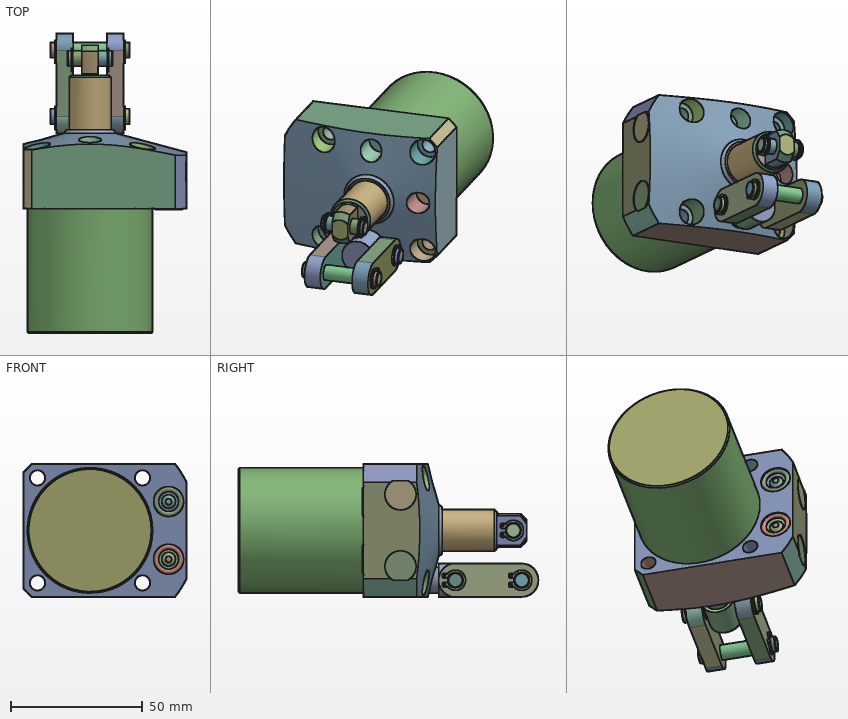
import cadquery as cq
import math


overall_length = 114.3

barrel_radius = 23.9
barrel_length = 47.5
barrel_chamfer = 0.6

flange_half_height = 25.4
flange_left = -25.4
flange_right = 36.8
flange_left_chamfer = 3.2
flange_corner_radius = 41.1
cone_slope = math.tan(math.radians(15))
collar_top_y = 30.1
collar_base_y = 28.7
collar_top_radius = 8.9
collar_base_radius = 10.1

mount_pitch = 40.0
mount_hole_radius = 2.9
mount_head_radius = 4.8
mount_seat_y = 16.0

port_x = 30.0
port_half_pitch = 11.0
port_radius = 5.7
oring_radius = 0.97
oring_proud = 0.4
oring_press = 0.02
nub_base_radius = 2.6
nub_tip_radius = 1.1
nub_height = 1.0

spot_half_pitch = 13.7
spot_y = 14.2
spot_radius = 6.0
spot_depth = 0.29

rod_radius = 8.0
rod_top_y = 50.9
rod_chamfer = 0.9
tang_radius = 6.4
tang_width = 6.3
tang_top_y = 62.3
tang_chamfer = 2.4
tang_flare = 0.6

link_radius = 6.4
link_outer_x = 12.8
link_inner_x = 6.4
link_z = link_radius - flange_half_height
link_low_y = 35.1
link_high_y = overall_length - barrel_length - link_radius
stem_radius = 5.0
stem_bottom_y = 11.4

socket_radius = 4.2
socket_floor_y = 16.0

pin_radius = 3.0
pin_chamfer = 0.3
link_pin_half = 15.2
rod_pin_half = 8.6
rod_pin_y = 57.2
ring_thickness = 0.7
ring_radius = 3.9
ear_radius = 1.0
ear_reach = 4.0
ear_spread = 1.7
ear_hole_radius = 0.4
ring_gap = 1.4
rod_ring_x = 6.5


def y_cylinder(radius, y_start, y_end, x, z):
    """Cylinder parallel to Y."""
    return cq.Workplane("XZ", origin=(x, y_start, z)).circle(radius).extrude(y_start - y_end)


def turned(points):
    """Solid of revolution about Y from (radius, y) points."""
    return cq.Workplane("XY").polyline(points).close().revolve(360, (0, 0, 0), (0, 1, 0))


def make_barrel():
    barrel = y_cylinder(barrel_radius, -barrel_length, 0, 0, 0)
    return barrel.faces("<Y").chamfer(barrel_chamfer)


def make_flange():
    """Plate with two chamfered and two round corners, topped by a cone and collar."""
    top = flange_half_height
    corner_x = math.sqrt(flange_corner_radius**2 - top**2)
    corner_z = math.sqrt(flange_corner_radius**2 - flange_right**2)
    mid_angle = (math.atan2(top, corner_x) + math.atan2(corner_z, flange_right)) / 2
    mid_x = flange_corner_radius * math.cos(mid_angle)
    mid_z = flange_corner_radius * math.sin(mid_angle)
    plate = (
        cq.Workplane("XZ")
        .moveTo(flange_left, flange_left_chamfer - top)
        .lineTo(flange_left + flange_left_chamfer, -top)
        .lineTo(corner_x, -top)
        .threePointArc((mid_x, -mid_z), (flange_right, -corner_z))
        .lineTo(flange_right, corner_z)
        .threePointArc((mid_x, mid_z), (corner_x, top))
        .lineTo(flange_left + flange_left_chamfer, top)
        .lineTo(flange_left, top - flange_left_chamfer)
        .close()
        .extrude(-collar_top_y)
    )
    rim_radius = 2 * barrel_radius
    rim_y = collar_base_y - (rim_radius - collar_base_radius) * cone_slope
    cone = turned([
        (0, 0),
        (rim_radius, 0),
        (rim_radius, rim_y),
        (collar_base_radius, collar_base_y),
        (collar_top_radius, collar_top_y),
        (0, collar_top_y),
    ])
    return plate.intersect(cone)


def cut_mount_holes(body):
    for x in (-mount_pitch / 2, mount_pitch / 2):
        for z in (-mount_pitch / 2, mount_pitch / 2):
            body = body.cut(y_cylinder(mount_hole_radius, 0, collar_top_y, x, z))
            body = body.cut(y_cylinder(mount_head_radius, mount_seat_y, collar_top_y, x, z))
    return body


def cut_sockets(body):
    """Bolt sockets at the same distance from the axis as the lever bolt."""
    for x, z in ((0, -link_z), (link_z, 0)):
        body = body.cut(y_cylinder(socket_radius, socket_floor_y, collar_top_y, x, z))
    return body


def add_ports(body):
    """Round recess holding an O-ring and a conical nub in its middle."""
    depth = 2 * oring_radius - oring_proud
    for z in (-port_half_pitch, port_half_pitch):
        body = body.cut(y_cylinder(port_radius, 0, depth, port_x, z))
        ring = cq.Solid.makeTorus(
            port_radius - oring_radius,
            oring_radius,
            cq.Vector(port_x, oring_radius - oring_proud + oring_press, z),
            cq.Vector(0, 1, 0),
        )
        nub = cq.Solid.makeCone(
            nub_base_radius,
            nub_tip_radius,
            nub_height,
            cq.Vector(port_x, depth, z),
            cq.Vector(0, -1, 0),
        )
        body = body.union(cq.Workplane(ring)).union(cq.Workplane(nub))
    return body


def cut_spot_faces(body):
    for z in (-spot_half_pitch, spot_half_pitch):
        spot = (
            cq.Workplane("YZ", origin=(flange_right - spot_depth, spot_y, z))
            .circle(spot_radius)
            .extrude(spot_depth)
        )
        body = body.cut(spot)
    return body


def make_rod():
    """Round rod whose top is a turned spigot with two flats."""
    rod = y_cylinder(rod_radius, 0, rod_top_y, 0, 0).faces(">Y").chamfer(rod_chamfer)
    tang = turned([
        (0, rod_top_y - rod_chamfer),
        (tang_radius + tang_flare, rod_top_y - rod_chamfer),
        (tang_radius + tang_flare, rod_top_y),
        (tang_radius, rod_top_y + tang_flare),
        (tang_radius, tang_top_y - tang_chamfer),
        (tang_radius - tang_chamfer, tang_top_y),
        (0, tang_top_y),
    ])
    slab = cq.Workplane("XY").box(tang_width, 2 * tang_top_y, 2 * rod_radius)
    return rod.union(tang.intersect(slab))


def make_link(side):
    """Round-ended bar; side is -1 or 1 along X."""
    x_start = link_inner_x if side > 0 else -link_outer_x
    return (
        cq.Workplane("YZ", origin=(x_start, (link_low_y + link_high_y) / 2, link_z))
        .slot2D(link_high_y - link_low_y + 2 * link_radius, 2 * link_radius)
        .extrude(link_outer_x - link_inner_x)
    )


def make_lever_bolt():
    """Eye between the links on a stem that enters the flange."""
    eye = y_cylinder(link_radius, link_low_y - link_radius, link_low_y + link_radius, 0, link_z)
    return eye.union(y_cylinder(stem_radius, stem_bottom_y, link_low_y, 0, link_z))


def make_ring(x_start, y, z):
    """Open retaining ring with two perforated ears toward -Y."""
    plane = cq.Workplane("YZ", origin=(x_start, y, z))
    ears = [(-ear_reach, -ear_spread), (-ear_reach, ear_spread)]
    ring = plane.circle(ring_radius).extrude(ring_thickness)
    ring = ring.union(plane.pushPoints(ears).circle(ear_radius).extrude(ring_thickness))
    ring = ring.cut(plane.pushPoints(ears).circle(ear_hole_radius).extrude(ring_thickness))
    gap = plane.center(-ear_reach, 0).rect(2 * ear_reach, ring_gap).extrude(ring_thickness)
    return ring.cut(gap)


def make_pin(half_length, ring_x, y, z):
    """Pin along X with a retaining ring near each end."""
    pin = (
        cq.Workplane("YZ", origin=(-half_length, y, z))
        .circle(pin_radius)
        .extrude(2 * half_length)
        .faces("<X or >X")
        .chamfer(pin_chamfer)
    )
    for x_start in (-ring_x - ring_thickness, ring_x):
        pin = pin.union(make_ring(x_start, y, z))
    return pin


flange = cut_sockets(cut_mount_holes(make_flange()))
flange = cut_spot_faces(add_ports(flange))

result = flange.union(make_barrel()).union(make_rod()).union(make_lever_bolt())
for link_side in (-1, 1):
    result = result.union(make_link(link_side))
for link_pin_y in (link_low_y, link_high_y):
    result = result.union(make_pin(link_pin_half, link_outer_x, link_pin_y, link_z))
result = result.union(make_pin(rod_pin_half, rod_ring_x, rod_pin_y, 0))